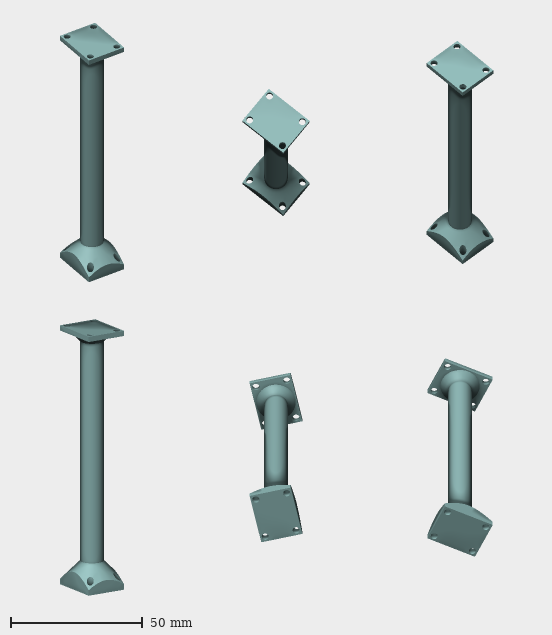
import cadquery as cq

height = 102.0
width = 20.0
depth = 16.0

plate_thickness = 2.0
column_radius = 4.5
collar_height = 3.0

foot_height = 10.5

hole_diameter = 2.7
hole_spacing_x = 16.0
hole_spacing_y = 12.0


def turned_stem():
    """Column, top collar and foot as one turned body; both flares slope at 45 degrees."""
    plate_bottom = height - plate_thickness
    collar_bottom = plate_bottom - collar_height
    collar_radius = column_radius + collar_height
    foot_radius = column_radius + foot_height
    return (
        cq.Workplane("XZ")
        .moveTo(0, 0)
        .lineTo(foot_radius, 0)
        .lineTo(column_radius, foot_height)
        .lineTo(column_radius, collar_bottom)
        .lineTo(collar_radius, plate_bottom)
        .lineTo(0, plate_bottom)
        .close()
        .revolve(360, (0, 0, 0), (0, 1, 0))
    )


def block(bottom, thickness):
    """Rectangular block of the full width and depth."""
    return cq.Workplane("XY", origin=(0, 0, bottom)).rect(width, depth).extrude(thickness)


def corner_holes():
    """Four vertical cutters spanning the full height."""
    return (
        cq.Workplane("XY")
        .rect(hole_spacing_x, hole_spacing_y, forConstruction=True)
        .vertices()
        .circle(hole_diameter / 2)
        .extrude(height)
    )


stem = turned_stem().intersect(block(0, height))
top_plate = block(height - plate_thickness, plate_thickness)
result = stem.union(top_plate).cut(corner_holes())